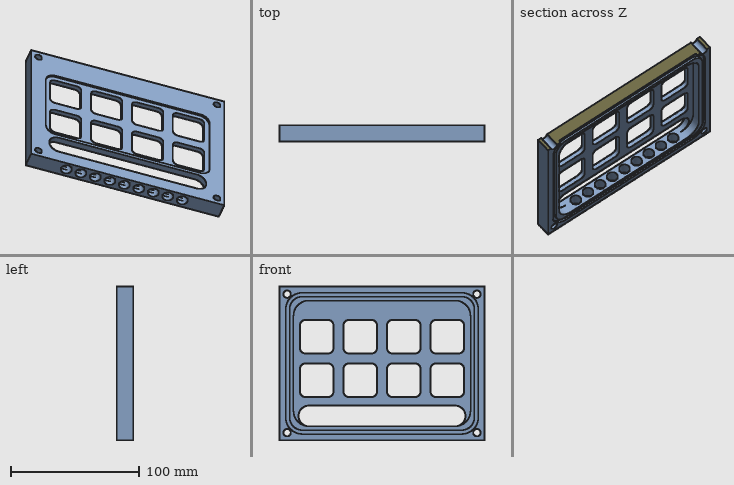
import cadquery as cq

LENGTH = 160.0
HEIGHT = 120.0
THICKNESS = 13.0

SCREW_DIAMETER = 5.6
SCREW_INSET = 6.0

GROOVE_INSET = 5.0
GROOVE_WIDTH = 3.0
GROOVE_DEPTH = 2.0
GROOVE_OUTER_RADIUS = 13.0
GROOVE_INNER_RADIUS = GROOVE_OUTER_RADIUS - GROOVE_WIDTH

POCKET_INSET = 11.0
POCKET_RADIUS = 12.0
POCKET_DEPTH = 7.5

WINDOW_SIZE = 26.0
WINDOW_RADIUS = 4.0
WINDOW_PITCH = 34.0
WINDOW_COLUMNS = 4
WINDOW_ROWS = 2
WINDOW_GRID_Z = 3.8

RECESS_DEPTH = 1.5
RECESS_MARGIN = 4.0
RECESS_LENGTH = (WINDOW_COLUMNS - 1) * WINDOW_PITCH + WINDOW_SIZE + 2 * RECESS_MARGIN
RECESS_HEIGHT = (WINDOW_ROWS - 1) * WINDOW_PITCH + WINDOW_SIZE + 2 * RECESS_MARGIN
RECESS_RADIUS = WINDOW_RADIUS + RECESS_MARGIN

SLOT_LENGTH = 130.0
SLOT_HEIGHT = 16.0
POCKET_BOTTOM_Z = POCKET_INSET - HEIGHT / 2
SLOT_Z = POCKET_BOTTOM_Z + SLOT_HEIGHT / 2

RIM_HOLE_X = 0.6
RIM_HOLE_Y = 6.7
RIM_HOLE_DIAMETER = 8.5
RIM_HOLE_PITCH = 12.0
RIM_HOLE_COUNT = 9


def rounded_block(length, height, depth, radius):
    """Block running from the front face toward +Y, with rounded X-Z corners."""
    block = cq.Workplane("XY").box(length, depth, height).edges("|Y").fillet(radius)
    return block.translate((0, depth / 2, 0))


def inset_block(inset, depth, radius):
    """Rounded block whose outline lies a constant distance inside the plate edge."""
    return rounded_block(LENGTH - 2 * inset, HEIGHT - 2 * inset, depth, radius)


def front_sketch():
    """Workplane on the front face; extrude with a negative length to go toward +Y."""
    return cq.Workplane("XZ")


plate = front_sketch().rect(LENGTH, HEIGHT).extrude(-THICKNESS)

screw_holes = (
    front_sketch()
    .rect(LENGTH - 2 * SCREW_INSET, HEIGHT - 2 * SCREW_INSET, forConstruction=True)
    .vertices()
    .circle(SCREW_DIAMETER / 2)
    .extrude(-THICKNESS)
)

groove_outer = inset_block(GROOVE_INSET, GROOVE_DEPTH, GROOVE_OUTER_RADIUS)
groove_island = inset_block(GROOVE_INSET + GROOVE_WIDTH, GROOVE_DEPTH, GROOVE_INNER_RADIUS)
groove = groove_outer.cut(groove_island)

pocket = inset_block(POCKET_INSET, POCKET_DEPTH, POCKET_RADIUS)

back_recess = rounded_block(RECESS_LENGTH, RECESS_HEIGHT, RECESS_DEPTH, RECESS_RADIUS)
back_recess = back_recess.translate((0, THICKNESS - RECESS_DEPTH, WINDOW_GRID_Z))

slot = (
    front_sketch()
    .center(0, SLOT_Z)
    .slot2D(SLOT_LENGTH, SLOT_HEIGHT)
    .extrude(-THICKNESS)
)

rim_holes = (
    cq.Workplane("XY", origin=(RIM_HOLE_X, RIM_HOLE_Y, -HEIGHT / 2))
    .rarray(RIM_HOLE_PITCH, 1.6, RIM_HOLE_COUNT, 1)
    .circle(RIM_HOLE_DIAMETER / 2)
    .extrude(POCKET_INSET)
)

result = plate.cut(screw_holes).cut(groove).cut(pocket).cut(back_recess).cut(slot).cut(rim_holes)

window = rounded_block(WINDOW_SIZE, WINDOW_SIZE, THICKNESS, WINDOW_RADIUS)
for column in range(WINDOW_COLUMNS):
    for row in range(WINDOW_ROWS):
        x = (column - (WINDOW_COLUMNS - 1) / 2) * WINDOW_PITCH
        z = WINDOW_GRID_Z + (row - (WINDOW_ROWS - 1) / 2) * WINDOW_PITCH
        result = result.cut(window.translate((x, 0, z)))